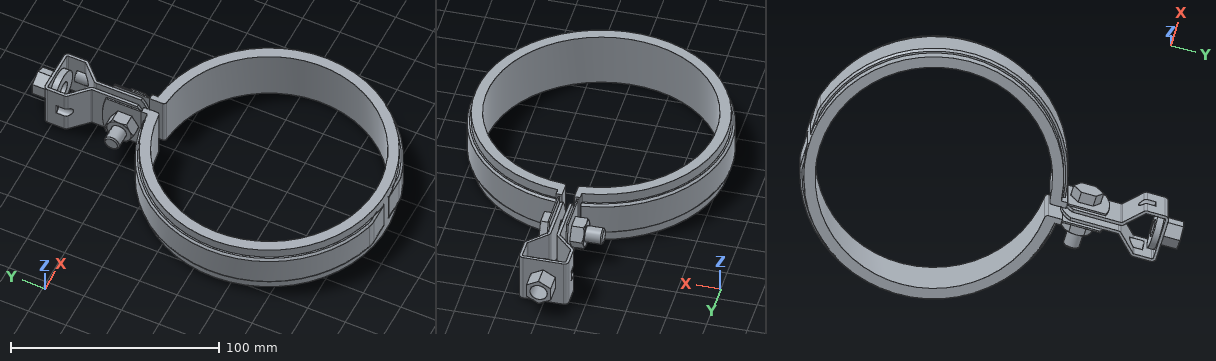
import cadquery as cq
import math

PIPE_RADIUS = 57.0
LINER_RADIUS = 62.5
LINER_WIDTH = 28.0
LIP_INNER_X = 3.0
LIP_OUTER_X = 6.0
LIP_TOP_Y = 65.4
LIP_FILLET = 1.5

STRAP_WIDTH = 25.0
STRAP_THICKNESS = 0.8
STRAP_OUTER_RADIUS = 61.0
STRAP_INNER_RADIUS = STRAP_OUTER_RADIUS - STRAP_THICKNESS
RIB_RADIUS = 64.46
RIB_WIDTH = 17.6
RIB_CHAMFER = 1.1
RIB_END_X = 2.5
RIB_BEND_RADIUS = 14.5
RIB_FLAT_Y = -62.55
EAR_OUTER_X = 5.0
EAR_INNER_X = EAR_OUTER_X - STRAP_THICKNESS
EAR_TOP_Y = 86.7
EAR_SHOULDER_Y = 84.8

SHEET = 1.5
BRACKET_WIDTH = 25.0
BRACKET_TOP_Y = 114.5
BRACKET_HALF_WIDTH = 12.25
BRACKET_WALL_LENGTH = 12.0
LEG_OUTER_X = LIP_INNER_X
LEG_END_Y = 64.4
LEG_ARCH = 4.6
BEND_INNER_RADIUS = 0.75
BEND_OUTER_RADIUS = BEND_INNER_RADIUS + SHEET

BEAD_GROOVE_RADIUS = 2.75
BEAD_RADIUS = BEAD_GROOVE_RADIUS + SHEET
BEAD_DROP = 6.8
BEAD_LENGTH = 12.0

BOSS_FLATS = 12.0
BOSS_HEIGHT = 9.0
BOSS_FLANGE_DIAMETER = 20.0
BOSS_FLANGE_THICKNESS = 3.3
BOSS_NECK_DIAMETER = 10.5
BOSS_BORE = 8.5

BOLT_Y = 74.6
BOLT_DIAMETER = 8.0
BOLT_TIP_DIAMETER = 6.65
BOLT_TIP_X = -20.0
BOLT_HOLE = 9.0
HEX_FLATS = 13.0
HEAD_HEIGHT = 5.3
NUT_HEIGHT = 6.5
NUT_BEVEL_ANGLE = math.radians(30)

LIP_ROOT_Y = math.sqrt(PIPE_RADIUS**2 - LIP_INNER_X**2)


def both_sides(half):
    return half.union(half.mirror("YZ"))


def hexagon(workplane, flats, height):
    return workplane.polygon(6, flats / math.cos(math.pi / 6)).extrude(height)


def slab(outline, width):
    """An outline in the XY plane, thickened equally above and below it."""
    return outline.extrude(width).translate((0, 0, -width / 2))


def x_cylinder(diameter, x_start, x_end):
    """A cylinder on the bolt axis."""
    return (
        cq.Workplane("YZ", origin=(x_start, BOLT_Y, 0))
        .circle(diameter / 2)
        .extrude(x_end - x_start)
    )


def y_cylinder(diameter, top_y, length):
    """A cylinder on the boss axis, running toward -Y from top_y."""
    return cq.Workplane("XZ", origin=(0, top_y, 0)).circle(diameter / 2).extrude(length)


def make_rib():
    """One half of the raised rib, including the space inside the ring."""
    bend_center_distance = RIB_RADIUS - RIB_BEND_RADIUS
    bend_center_y = RIB_FLAT_Y + RIB_BEND_RADIUS
    bend_angle = math.acos(-bend_center_y / bend_center_distance)
    bend_center_x = bend_center_distance * math.sin(bend_angle)
    bend_start = (RIB_RADIUS * math.sin(bend_angle), -RIB_RADIUS * math.cos(bend_angle))
    bend_mid = (
        bend_center_x + RIB_BEND_RADIUS * math.sin(bend_angle / 2),
        bend_center_y - RIB_BEND_RADIUS * math.cos(bend_angle / 2),
    )
    outline = (
        cq.Workplane("XY")
        .moveTo(LIP_OUTER_X, math.sqrt(RIB_RADIUS**2 - LIP_OUTER_X**2))
        .threePointArc((RIB_RADIUS, 0), bend_start)
        .threePointArc(bend_mid, (bend_center_x, RIB_FLAT_Y))
        .lineTo(RIB_END_X, RIB_FLAT_Y)
        .lineTo(RIB_END_X, 0)
        .lineTo(LIP_OUTER_X, 0)
        .close()
    )
    rib = slab(outline, RIB_WIDTH)

    def is_outer(edge):
        middle = edge.positionAt(0.5)
        return math.hypot(middle.x, middle.y) > LINER_RADIUS

    return rib.faces("|Z").edges().filter(is_outer).chamfer(RIB_CHAMFER)


def make_ear():
    """The strap end standing up at one side of the gap, with an arched top edge."""
    half = STRAP_WIDTH / 2
    return (
        cq.Workplane("YZ", origin=(EAR_INNER_X, 0, 0))
        .moveTo(STRAP_INNER_RADIUS, -half)
        .lineTo(EAR_SHOULDER_Y, -half)
        .threePointArc((EAR_TOP_Y, 0), (EAR_SHOULDER_Y, half))
        .lineTo(STRAP_INNER_RADIUS, half)
        .close()
        .extrude(STRAP_THICKNESS)
        .cut(x_cylinder(BOLT_DIAMETER, 0, EAR_OUTER_X))
    )


def make_strap():
    hoop = slab(cq.Workplane("XY").circle(STRAP_OUTER_RADIUS), STRAP_WIDTH)
    hoop = hoop.union(both_sides(make_rib()))
    hoop = hoop.cut(slab(cq.Workplane("XY").circle(STRAP_INNER_RADIUS), STRAP_WIDTH))
    gap = cq.Workplane("XY").center(0, STRAP_OUTER_RADIUS)
    hoop = hoop.cut(slab(gap.rect(2 * EAR_INNER_X, STRAP_OUTER_RADIUS), STRAP_WIDTH))
    return hoop.union(both_sides(make_ear()))


def make_liner(strap):
    ring = slab(cq.Workplane("XY").circle(LINER_RADIUS), LINER_WIDTH)
    lips = cq.Workplane("XY").center(0, LIP_TOP_Y / 2).rect(2 * LIP_OUTER_X, LIP_TOP_Y)
    gap = cq.Workplane("XY").center(0, LIP_TOP_Y).rect(2 * LIP_INNER_X, LIP_TOP_Y)
    bore = cq.Workplane("XY").circle(PIPE_RADIUS)
    liner = ring.union(slab(lips, LINER_WIDTH)).cut(slab(bore, LINER_WIDTH)).cut(slab(gap, LINER_WIDTH))
    for x in (-LIP_INNER_X, LIP_INNER_X):
        corner = cq.selectors.NearestToPointSelector((x, LIP_ROOT_Y, 0))
        liner = liner.edges("|Z").edges(corner).fillet(LIP_FILLET)
    return liner.cut(strap)


def bracket_outline(inset):
    """The bracket as a filled block, with its sheet outline moved inward by the inset."""
    wall_x = BRACKET_HALF_WIDTH - inset
    leg_x = LEG_OUTER_X - inset
    top_y = BRACKET_TOP_Y - inset
    wall_end_y = BRACKET_TOP_Y - BRACKET_WALL_LENGTH + inset * math.tan(math.pi / 8)
    leg_top_y = wall_end_y - (wall_x - leg_x)
    outline = slab(
        cq.Workplane("XY").polyline(
            [
                (-leg_x, LEG_END_Y),
                (-leg_x, leg_top_y),
                (-wall_x, wall_end_y),
                (-wall_x, top_y),
                (wall_x, top_y),
                (wall_x, wall_end_y),
                (leg_x, leg_top_y),
                (leg_x, LEG_END_Y),
            ]
        ).close(),
        BRACKET_WIDTH,
    )
    convex = BEND_OUTER_RADIUS - inset
    concave = BEND_INNER_RADIUS + inset
    for side in (-1, 1):
        for x, y, radius in (
            (wall_x, top_y, convex),
            (wall_x, wall_end_y, convex),
            (leg_x, leg_top_y, concave),
        ):
            corner = cq.selectors.NearestToPointSelector((side * x, y, 0))
            outline = outline.edges("|Z").edges(corner).fillet(radius)
    return outline


def bead_rods(radius):
    """Round rods along Y, one centred on the outside of each bracket wall."""
    return (
        cq.Workplane("XZ", origin=(0, BRACKET_TOP_Y - BEAD_DROP, 0))
        .pushPoints([(-BRACKET_HALF_WIDTH, 0), (BRACKET_HALF_WIDTH, 0)])
        .circle(radius)
        .extrude(BEAD_LENGTH)
    )


def bracket_side_shape():
    """The bracket's outline seen along X, with both leg ends arched."""
    half = BRACKET_WIDTH / 2
    return (
        cq.Workplane("YZ", origin=(-BRACKET_HALF_WIDTH, 0, 0))
        .moveTo(BRACKET_TOP_Y, -half)
        .lineTo(LEG_END_Y + LEG_ARCH, -half)
        .threePointArc((LEG_END_Y, 0), (LEG_END_Y + LEG_ARCH, half))
        .lineTo(BRACKET_TOP_Y, half)
        .close()
        .extrude(2 * BRACKET_HALF_WIDTH)
    )


def make_bracket():
    filled = bracket_outline(0)
    bracket = filled.cut(bracket_outline(SHEET))
    bracket = bracket.union(bead_rods(BEAD_RADIUS).intersect(filled))
    bracket = bracket.cut(bead_rods(BEAD_GROOVE_RADIUS))
    bracket = bracket.intersect(bracket_side_shape())
    bracket = bracket.cut(x_cylinder(BOLT_HOLE, -BRACKET_HALF_WIDTH, BRACKET_HALF_WIDTH))
    return bracket.cut(y_cylinder(BOSS_NECK_DIAMETER, BRACKET_TOP_Y, SHEET))


def make_boss():
    top_y = BRACKET_TOP_Y + BOSS_HEIGHT
    corners_up = cq.Workplane("XZ", origin=(0, top_y, 0)).transformed(rotate=(0, 0, 90))
    head = hexagon(corners_up, BOSS_FLATS, BOSS_HEIGHT)
    neck = y_cylinder(BOSS_NECK_DIAMETER, BRACKET_TOP_Y, SHEET)
    flange = y_cylinder(BOSS_FLANGE_DIAMETER, BRACKET_TOP_Y - SHEET, BOSS_FLANGE_THICKNESS)
    bore = y_cylinder(BOSS_BORE, top_y, BOSS_HEIGHT + SHEET + BOSS_FLANGE_THICKNESS)
    return head.union(neck).union(flange).cut(bore)


def x_hexagon(x_start, height):
    """A hexagonal prism on the bolt axis, with corners pointing along Y."""
    return hexagon(cq.Workplane("YZ", origin=(x_start, BOLT_Y, 0)), HEX_FLATS, height)


def make_bolt():
    tip = (BOLT_DIAMETER - BOLT_TIP_DIAMETER) / 2
    shank = x_cylinder(BOLT_DIAMETER, BOLT_TIP_X, EAR_OUTER_X).faces("<X").chamfer(tip)
    return shank.union(x_hexagon(EAR_OUTER_X, HEAD_HEIGHT))


def make_nut():
    outer_x = -EAR_OUTER_X - NUT_HEIGHT
    corner_radius = HEX_FLATS / 2 / math.cos(math.pi / 6)
    bevel = (corner_radius - HEX_FLATS / 2) * math.tan(NUT_BEVEL_ANGLE)
    envelope = (
        cq.Workplane("XY", origin=(0, BOLT_Y, 0))
        .moveTo(outer_x, 0)
        .lineTo(outer_x, HEX_FLATS / 2)
        .lineTo(outer_x + bevel, corner_radius)
        .lineTo(-EAR_OUTER_X, corner_radius)
        .lineTo(-EAR_OUTER_X, 0)
        .close()
        .revolve(360, (0, 0, 0), (1, 0, 0))
    )
    nut = x_hexagon(outer_x, NUT_HEIGHT).intersect(envelope)
    return nut.cut(x_cylinder(BOLT_DIAMETER, outer_x, -EAR_OUTER_X))


strap = make_strap()
liner = make_liner(strap)
bracket = make_bracket()
boss = make_boss()
bolt = make_bolt()
nut = make_nut()

result = cq.Compound.makeCompound(
    [liner.val(), strap.val(), bracket.val(), boss.val(), bolt.val(), nut.val()]
)